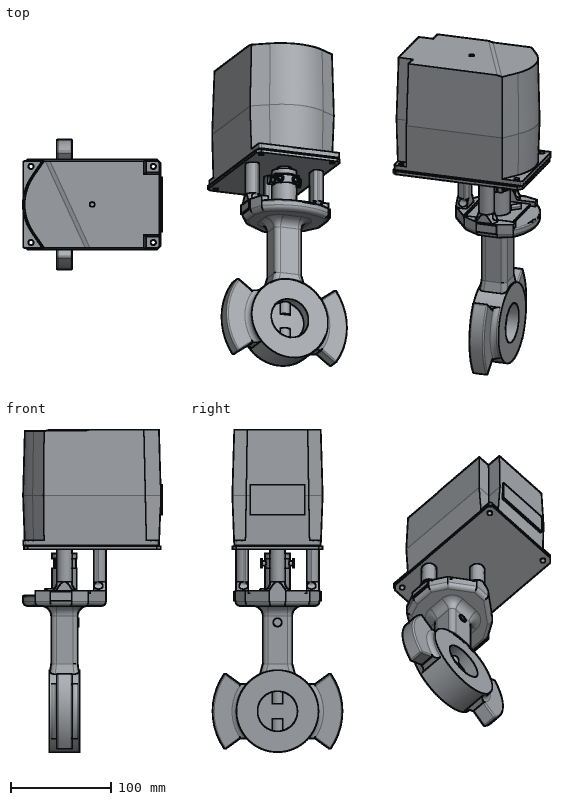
import cadquery as cq
import math


OVERALL_LENGTH = 139.16

FLARE_SAG = 0.3

OVERLAP = 1.0

PICK_MARGIN = 0.1

BODY_DIA = 82.0
BODY_WIDTH = 30.5
BORE_DIA = 40.0
FLAP_THICKNESS = 5.0
FLAP_PIN_DIA = 12.0
FLAP_PIN_REACH = 7.5

EAR_RADIUS = 65.0
EAR_WIDTH = 15.6
EAR_HALF_ANGLE = 36.0
EAR_EDGE = 1.5
EAR_OVERLAP = 2.0
EAR_ROOT_WIDTH = 26.0
EAR_ROOT_RADIUS = 45.7
EAR_ROOT_HALF_HEIGHT = 27.3

NECK_X = 26.8
NECK_Y = 29.5
NECK_CORNER = 5.2
NECK_TOP_FLARE = 10.0
NECK_FOOT_X = 29.8
NECK_FOOT_Y = 36.0
NECK_FOOT_BOTTOM = 35.5
NECK_FOOT_HEIGHT = 12.0
TAG_DIA = 8.4
TAG_HEIGHT = 1.0
TAG_Z = 88.7

FLANGE_RADIUS = 41.6
FLANGE_BOTTOM = 105.0
FLANGE_TOP = 120.3
FLANGE_EDGE = 5.0
FLANGE_HALF_Y = 42.0
ARM_START_X = 24.0
ARM_START_Y = 32.0
ARM_HALF_WIDTH = 8.0
SIDE_PAD_Y = 43.8
SIDE_PAD_X = (-14.0, 7.4)
SIDE_PAD_Z = (110.5, 119.5)
RECESS_HALF_WIDTH = 29.2
RECESS_END_X = 26.0
RECESS_FLOOR = 117.6
DIAL_STEP_X = -24.0
DIAL_FLOOR = 115.6
DIAL_EDGE_X = -29.2
DIAL_EDGE_Y = 36.0
DIAL_RIM = 1.4
STOP_DIA = 4.0
STOP_START = 13.6
STOP_LENGTH = 11.0
STOP_ANGLE = 221.0
STOP_Z = FLANGE_TOP

POST_WIDTH = 15.4
POST_INNER = 29.2
POST_ROUND = 3.0
POST_FLARE_HALF = 14.0
POST_FLARE_TOP = 129.3

STEM_DIA = 25.0
STEM_TOP = 157.7
SHAFT_DIA = 14.38
CLAMP_BOTTOM = 143.0
CLAMP_TOP = 152.3
CLAMP_FLAT_X = -9.0
CLAMP_DIA = 23.4
SCREW_Y = 8.3
SCREW_HEAD_DIA = 7.0
SCREW_SOCKET_DIA = 4.0
SCREW_HEAD_HEIGHT = 1.5
SCREW_SOCKET_DEPTH = 1.0
NUT_DIA = 9.0
NUT_NECK_DIA = 5.0
NUT_FACE_Y = 16.6
NUT_THICKNESS = 1.6

PLATE_BOTTOM = 161.5
LOWER_PLATE_TOP = 164.8
UPPER_PLATE_BOTTOM = 165.6
PLATE_TOP = 170.6
LOWER_PLATE_X = (-40.6, 96.3)
UPPER_PLATE_X = (-41.3, 94.7)
LOWER_PLATE_HALF_Y = 45.0
GROOVE_DEPTH = 1.0
PLATE_CORNER = 4.0
UPPER_CORNER = 2.0
PLATE_HOLE_DIA = 5.0
PLATE_HOLE_X = (-33.4, 88.8)
PLATE_HOLE_Y = 38.0

SEAM_Z = 215.5
HOUSING_TOP = 281.1
HOUSING_HALF_Y = 45.2
HOUSING_BACK_X = 96.4
NOSE_X = -41.5
NOSE_BEND_X = -32.0
NOSE_BEND_Y = 28.9
SHOULDER_X = -20.9
BASE_INSET = 1.7
TOP_INSET = 1.9
BASE_NOTCH = (81.8, 32.0)
SEAM_NOTCH = (80.8, 31.2)
TOP_NOTCH = (79.3, 30.2)
STEP_DROP = 1.1
STEP_ANGLE = 24.7
STEP_UPPER_X = 5.4
STEP_LOWER_X = 0.7
DIMPLE_DIA = 5.0
DIMPLE_DEPTH = 1.1
DIMPLE_X = 27.8
COVER_Z = (196.2, 226.2)
COVER_HALF_Y = 27.3
COVER_FACE_X = OVERALL_LENGTH - FLANGE_RADIUS


def block(x_range, y_range, z_range):
    """Box given by its limits along each axis."""
    size = [high - low for low, high in (x_range, y_range, z_range)]
    return cq.Workplane("XY").box(*size, centered=False).translate((x_range[0], y_range[0], z_range[0]))


def x_cylinder(diameter, start, end):
    return cq.Workplane("YZ").workplane(offset=start).circle(diameter / 2).extrude(end - start)


def z_cylinder(diameter, start, end):
    return cq.Workplane("XY").workplane(offset=start).circle(diameter / 2).extrude(end - start)


def rounded_rectangle(width, depth, radius):
    return cq.Sketch().rect(width, depth).vertices().fillet(radius)


def mirrored_y(shape):
    """The shape together with its mirror image across the XZ plane."""
    return shape.union(shape.mirror("XZ"))


def make_ear():
    """Sector-shaped ear on the +Y side with a concave root to the body."""
    reach = 2 * EAR_RADIUS
    rise = reach * math.tan(math.radians(EAR_HALF_ANGLE))
    wedge = (
        cq.Workplane("YZ").polyline([(0, 0), (reach, -rise), (reach, rise)]).close()
        .extrude(BODY_WIDTH / 2, both=True)
    )
    body_radius = BODY_DIA / 2
    half_width = EAR_WIDTH / 2
    outer_edges = cq.selectors.BoxSelector(
        (-EAR_WIDTH, body_radius, -EAR_RADIUS), (EAR_WIDTH, reach, EAR_RADIUS)
    )
    ear = (
        x_cylinder(2 * EAR_RADIUS, -half_width, half_width)
        .cut(x_cylinder(BODY_DIA - 2 * EAR_OVERLAP, -half_width, half_width))
        .intersect(wedge)
        .edges(outer_edges)
        .fillet(EAR_EDGE)
    )

    mid_x = half_width + FLARE_SAG * (EAR_ROOT_WIDTH / 2 - half_width)
    mid_r = body_radius + FLARE_SAG * (EAR_ROOT_RADIUS - body_radius)
    root = (
        cq.Workplane("XY")
        .moveTo(-EAR_ROOT_WIDTH / 2, 0)
        .lineTo(-EAR_ROOT_WIDTH / 2, body_radius)
        .threePointArc((-mid_x, mid_r), (-half_width, EAR_ROOT_RADIUS))
        .lineTo(half_width, EAR_ROOT_RADIUS)
        .threePointArc((mid_x, mid_r), (EAR_ROOT_WIDTH / 2, body_radius))
        .lineTo(EAR_ROOT_WIDTH / 2, 0)
        .close()
        .revolve(360, (0, 0, 0), (1, 0, 0))
        .intersect(block(
            (-BODY_WIDTH, BODY_WIDTH), (0, EAR_RADIUS), (-EAR_ROOT_HALF_HEIGHT, EAR_ROOT_HALF_HEIGHT)
        ))
    )
    return ear.union(root)


def make_neck():
    """Rounded rectangular column, widened where it meets the body."""
    column = (
        cq.Workplane("XY").rect(NECK_X, NECK_Y).extrude(FLANGE_BOTTOM + FLANGE_EDGE)
        .edges("|Z").fillet(NECK_CORNER)
    )
    foot_base = rounded_rectangle(NECK_FOOT_X, NECK_FOOT_Y, NECK_CORNER)
    foot_top = rounded_rectangle(NECK_X, NECK_Y, NECK_CORNER)
    foot_rise = cq.Location(cq.Vector(0, 0, NECK_FOOT_HEIGHT))
    foot = (
        cq.Workplane("XY").workplane(offset=NECK_FOOT_BOTTOM)
        .placeSketch(foot_base, foot_top.moved(foot_rise))
        .loft(ruled=True)
    )
    tag = x_cylinder(TAG_DIA, 0, NECK_X / 2 + TAG_HEIGHT).translate((0, 0, TAG_Z))
    return column.union(foot).union(tag)


def make_valve_body():
    """Body ring with ears and neck, bored and closed by the flap."""
    half = BODY_WIDTH / 2
    body = x_cylinder(BODY_DIA, -half, half)
    body = body.union(mirrored_y(make_ear())).union(make_neck())
    body = body.cut(x_cylinder(BORE_DIA, -half, half))
    flap = x_cylinder(BORE_DIA, -FLAP_THICKNESS / 2, FLAP_THICKNESS / 2)
    pin = z_cylinder(FLAP_PIN_DIA, FLAP_PIN_REACH, BORE_DIA / 2 + OVERLAP)
    return body.union(flap).union(pin).union(pin.mirror("XY"))


def flange_outline():
    """Dial arc at -X, straight sides along X and flanks tapering to the rear post."""
    side_start, side_end = SIDE_PAD_X
    return (
        cq.Workplane("XY").workplane(offset=FLANGE_BOTTOM)
        .moveTo(FLANGE_RADIUS, -ARM_HALF_WIDTH)
        .lineTo(FLANGE_RADIUS, ARM_HALF_WIDTH)
        .lineTo(ARM_START_X, ARM_START_Y)
        .lineTo(side_end, FLANGE_HALF_Y)
        .lineTo(side_start, FLANGE_HALF_Y)
        .lineTo(DIAL_EDGE_X, DIAL_EDGE_Y)
        .threePointArc((-FLANGE_RADIUS, 0), (DIAL_EDGE_X, -DIAL_EDGE_Y))
        .lineTo(side_start, -FLANGE_HALF_Y)
        .lineTo(side_end, -FLANGE_HALF_Y)
        .lineTo(ARM_START_X, -ARM_START_Y)
        .close()
    )


def make_neck_flare():
    """Concave flare joining the neck to the underside of the flange."""
    radius = NECK_TOP_FLARE
    slab = (
        cq.Workplane("XY").workplane(offset=FLANGE_BOTTOM)
        .rect(NECK_X + 2 * radius, NECK_Y + 2 * radius).extrude(FLANGE_EDGE)
        .edges("|Z").fillet(NECK_CORNER + radius)
    )
    column = (
        cq.Workplane("XY").workplane(offset=FLANGE_BOTTOM - radius - OVERLAP)
        .rect(NECK_X, NECK_Y).extrude(radius + 2 * OVERLAP)
        .edges("|Z").fillet(NECK_CORNER)
    )
    reach_x = NECK_X / 2 + PICK_MARGIN
    reach_y = NECK_Y / 2 + PICK_MARGIN
    joint = cq.selectors.BoxSelector(
        (-reach_x, -reach_y, FLANGE_BOTTOM - PICK_MARGIN),
        (reach_x, reach_y, FLANGE_BOTTOM + PICK_MARGIN),
    )
    return slab.union(column).edges(joint).fillet(radius - 2 * PICK_MARGIN)


def make_flange():
    """Flange with side pads, a recessed dial and channel, and a stop peg."""
    flange = flange_outline().extrude(FLANGE_TOP - FLANGE_BOTTOM).faces("<Z").edges().fillet(FLANGE_EDGE)
    flange = flange.union(block(SIDE_PAD_X, (-SIDE_PAD_Y, SIDE_PAD_Y), SIDE_PAD_Z))
    recess_y = (-RECESS_HALF_WIDTH, RECESS_HALF_WIDTH)
    flange = flange.cut(block((DIAL_STEP_X, RECESS_END_X), recess_y, (RECESS_FLOOR, FLANGE_TOP)))
    flange = flange.cut(block((-FLANGE_RADIUS, DIAL_STEP_X), recess_y, (DIAL_FLOOR, FLANGE_TOP)))
    dial_y = (-FLANGE_HALF_Y, FLANGE_HALF_Y)
    flange = flange.cut(block((-FLANGE_RADIUS, DIAL_EDGE_X), dial_y, (DIAL_FLOOR, FLANGE_TOP)))
    rim = cq.selectors.BoxSelector(
        (-FLANGE_RADIUS, -PICK_MARGIN, DIAL_FLOOR - PICK_MARGIN),
        (DIAL_EDGE_X - PICK_MARGIN, PICK_MARGIN, DIAL_FLOOR + PICK_MARGIN),
    )
    flange = flange.edges(rim).fillet(DIAL_RIM)
    stop = (
        x_cylinder(STOP_DIA, STOP_START, STOP_START + STOP_LENGTH)
        .union(block(
            (STOP_START, STOP_START + STOP_LENGTH),
            (-STOP_DIA / 2, STOP_DIA / 2),
            (DIAL_FLOOR - STOP_Z, 0),
        ))
        .rotate((0, 0, 0), (0, 0, 1), STOP_ANGLE).translate((0, 0, STOP_Z))
    )
    return flange.union(stop).union(make_neck_flare())


def make_post_foot():
    """Concave flare around the base of the post on the +X side."""
    half = POST_WIDTH / 2
    mid_y = half + FLARE_SAG * (POST_FLARE_HALF - half)
    mid_z = FLANGE_TOP + FLARE_SAG * (POST_FLARE_TOP - FLANGE_TOP)
    foot_bottom = FLANGE_BOTTOM + FLANGE_EDGE
    foot = (
        cq.Workplane("YZ").workplane(offset=POST_INNER)
        .moveTo(-POST_FLARE_HALF, foot_bottom)
        .lineTo(-POST_FLARE_HALF, FLANGE_TOP)
        .threePointArc((-mid_y, mid_z), (-half, POST_FLARE_TOP))
        .lineTo(half, POST_FLARE_TOP)
        .threePointArc((mid_y, mid_z), (POST_FLARE_HALF, FLANGE_TOP))
        .lineTo(POST_FLARE_HALF, foot_bottom)
        .close()
        .extrude(FLANGE_RADIUS - POST_INNER)
    )
    cone = (
        cq.Workplane("XY").workplane(offset=foot_bottom)
        .center(FLANGE_RADIUS - half, 0).circle(2 * half)
        .workplane(offset=POST_FLARE_TOP - foot_bottom).circle(half).loft()
    )
    return foot.intersect(cone)


def make_post(angle):
    """Post with a round outer side and a flared foot, turned from +X by the angle."""
    half = POST_WIDTH / 2
    centre = FLANGE_RADIUS - half
    z_range = (FLANGE_BOTTOM + FLANGE_EDGE, PLATE_BOTTOM)
    inner_part = block((POST_INNER, centre), (-half, half), z_range).edges("|Z and <X").fillet(POST_ROUND)
    outer_part = z_cylinder(POST_WIDTH, *z_range).translate((centre, 0, 0))
    outer_part = outer_part.intersect(block((centre, FLANGE_RADIUS), (-half, half), z_range))
    post = inner_part.union(outer_part).union(make_post_foot())
    return post.rotate((0, 0, 0), (0, 0, 1), angle)


def make_posts():
    """Three posts, kept within the flange outline."""
    posts = make_post(0).union(make_post(90)).union(make_post(-90))
    envelope = flange_outline().extrude(PLATE_BOTTOM - FLANGE_BOTTOM)
    return posts.intersect(envelope)


def make_stem():
    """Stem with a necked clamp zone, two screws on -X and a nut on each Y side."""
    clamp_height = CLAMP_TOP - CLAMP_BOTTOM
    clamp_z = (CLAMP_BOTTOM + CLAMP_TOP) / 2
    stem = z_cylinder(STEM_DIA, FLANGE_BOTTOM, STEM_TOP)
    ring = z_cylinder(STEM_DIA, CLAMP_BOTTOM, CLAMP_TOP).cut(z_cylinder(CLAMP_DIA, CLAMP_BOTTOM, CLAMP_TOP))
    flat = block((-STEM_DIA, CLAMP_FLAT_X), (-STEM_DIA, STEM_DIA), (CLAMP_BOTTOM, CLAMP_TOP))
    stem = stem.cut(ring).cut(flat)
    bar = block(
        (CLAMP_FLAT_X, CLAMP_FLAT_X + clamp_height / 2),
        (-STEM_DIA / 2, STEM_DIA / 2),
        (CLAMP_BOTTOM, CLAMP_TOP),
    )
    stem = stem.union(bar)
    head_face = CLAMP_FLAT_X - SCREW_HEAD_HEIGHT
    screw = x_cylinder(SCREW_HEAD_DIA, head_face, CLAMP_FLAT_X + OVERLAP)
    screw = screw.cut(x_cylinder(SCREW_SOCKET_DIA, head_face, head_face + SCREW_SOCKET_DEPTH))
    stem = stem.union(mirrored_y(screw.translate((0, SCREW_Y, clamp_z))))
    nut_inner = NUT_FACE_Y - NUT_THICKNESS
    nut = (
        cq.Workplane("XZ").circle(NUT_NECK_DIA / 2).extrude(-NUT_FACE_Y)
        .union(cq.Workplane("XZ").workplane(offset=-nut_inner).circle(NUT_DIA / 2).extrude(-NUT_THICKNESS))
        .translate((0, 0, clamp_z))
    )
    shaft = z_cylinder(SHAFT_DIA, STEM_TOP - OVERLAP, PLATE_BOTTOM)
    return stem.union(mirrored_y(nut)).union(shaft)


def make_plates():
    """Two base plates on a smaller core, with a hole in each corner."""
    lower_y = (-LOWER_PLATE_HALF_Y, LOWER_PLATE_HALF_Y)
    upper_half_y = HOUSING_HALF_Y - BASE_INSET
    upper_length = UPPER_PLATE_X[1] - UPPER_PLATE_X[0]
    side_taper = math.degrees(math.atan(BASE_INSET / (SEAM_Z - PLATE_TOP)))
    lower = block(LOWER_PLATE_X, lower_y, (PLATE_BOTTOM, LOWER_PLATE_TOP)).edges("|Z").chamfer(PLATE_CORNER)
    upper = (
        cq.Workplane("XY").workplane(offset=PLATE_TOP)
        .center(sum(UPPER_PLATE_X) / 2, 0)
        .placeSketch(rounded_rectangle(upper_length, 2 * upper_half_y, UPPER_CORNER))
        .extrude(UPPER_PLATE_BOTTOM - PLATE_TOP, taper=side_taper)
    )
    core = block(
        (LOWER_PLATE_X[0] + GROOVE_DEPTH, UPPER_PLATE_X[1] - GROOVE_DEPTH),
        (GROOVE_DEPTH - upper_half_y, upper_half_y - GROOVE_DEPTH),
        (PLATE_BOTTOM, PLATE_TOP),
    ).edges("|Z").chamfer(PLATE_CORNER)
    plates = lower.union(upper).union(core)
    for x in PLATE_HOLE_X:
        for y in (-PLATE_HOLE_Y, PLATE_HOLE_Y):
            plates = plates.cut(z_cylinder(PLATE_HOLE_DIA, PLATE_BOTTOM, PLATE_TOP).translate((x, y, 0)))
    return plates


def housing_section(plane, inset, notch_x, notch_y):
    """Housing outline at one level: bowed nose at -X and notched corners at +X."""
    nose_x = NOSE_X + inset
    bend_x = NOSE_BEND_X + inset / 2
    bend_y = NOSE_BEND_Y - inset / 2
    shoulder_x = SHOULDER_X + inset / 3
    side_y = HOUSING_HALF_Y - inset
    back_x = HOUSING_BACK_X - inset
    return (
        plane.moveTo(shoulder_x, side_y)
        .lineTo(bend_x, bend_y)
        .threePointArc((nose_x, 0), (bend_x, -bend_y))
        .lineTo(shoulder_x, -side_y)
        .lineTo(notch_x, -side_y)
        .lineTo(notch_x, -notch_y)
        .lineTo(back_x, -notch_y)
        .lineTo(back_x, notch_y)
        .lineTo(notch_x, notch_y)
        .lineTo(notch_x, side_y)
        .close()
    )


def housing_half(start, end):
    """Tapered solid between two levels given as (z, inset, notch_x, notch_y)."""
    sections = housing_section(cq.Workplane("XY").workplane(offset=start[0]), *start[1:])
    sections = housing_section(sections.workplane(offset=end[0] - start[0]), *end[1:])
    return sections.loft(ruled=True)


def make_step_cut():
    """Material above the lower -X part of the roof, ending in a slanted ramp."""
    reach = 2 * HOUSING_BACK_X
    slant = math.cos(math.radians(STEP_ANGLE))
    floor = HOUSING_TOP - STEP_DROP
    return (
        cq.Workplane("XZ")
        .polyline([
            (-reach, floor),
            (STEP_LOWER_X * slant, floor),
            (STEP_UPPER_X * slant, HOUSING_TOP),
            (-reach, HOUSING_TOP),
        ])
        .close()
        .extrude(reach, both=True)
        .rotate((0, 0, 0), (0, 0, 1), STEP_ANGLE)
    )


def make_housing():
    """Housing of two tapered halves with a stepped roof, a dimple and a rear cover."""
    base = (PLATE_TOP, BASE_INSET, *BASE_NOTCH)
    seam = (SEAM_Z, 0, *SEAM_NOTCH)
    top = (HOUSING_TOP, TOP_INSET, *TOP_NOTCH)
    housing = housing_half(base, seam).union(housing_half(seam, top))
    housing = housing.cut(make_step_cut())
    dimple = z_cylinder(DIMPLE_DIA, HOUSING_TOP - DIMPLE_DEPTH, HOUSING_TOP).translate((DIMPLE_X, 0, 0))
    cover = block((UPPER_PLATE_X[1] - OVERLAP, COVER_FACE_X), (-COVER_HALF_Y, COVER_HALF_Y), COVER_Z)
    return housing.cut(dimple).union(cover)


valve = make_valve_body().union(make_flange()).union(make_posts()).union(make_stem())
actuator = make_plates().union(make_housing())
result = valve.union(actuator)